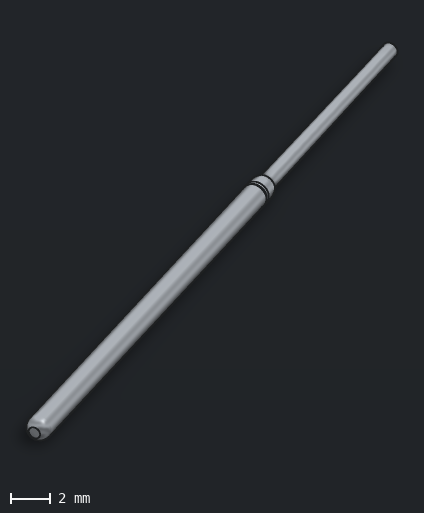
import cadquery as cq
import math

length = 38.7
body_radius = 1.37 / 2

nose_length = 0.57
nose_face_radius = 0.32

shoulder_from_tail_end = 13.7
shoulder_length = 0.32
shoulder_end_radius = 0.61
groove_from_shoulder = 0.8
groove_width = 0.26
groove_depth = 0.06

tip_length = 2.0
tip_radius = 0.86 / 2
tail_root_radius = 0.965 / 2

front_y = -length / 2
tail_end_y = length / 2
nose_start_y = front_y + nose_length
shoulder_y = tail_end_y - shoulder_from_tail_end
shoulder_start_y = shoulder_y - shoulder_length
groove_rear_y = shoulder_y - groove_from_shoulder
groove_mid_y = groove_rear_y - groove_width / 2
groove_front_y = groove_rear_y - groove_width
tip_y = tail_end_y - tip_length


def rounding_mid_point(start_y, end_y, end_radius):
    """Middle of the arc that leaves the body tangentially at start_y and reaches end_radius at end_y."""
    drop = body_radius - end_radius
    run = end_y - start_y
    arc_radius = (drop**2 + run**2) / (2 * drop)
    half_angle = math.asin(run / arc_radius) / 2
    mid_radius = body_radius - arc_radius * (1 - math.cos(half_angle))
    return mid_radius, start_y + arc_radius * math.sin(half_angle)


nose_mid = rounding_mid_point(nose_start_y, front_y, nose_face_radius)
shoulder_mid = rounding_mid_point(shoulder_start_y, shoulder_y, shoulder_end_radius)

half_profile = (
    cq.Workplane("XY")
    .moveTo(0, front_y)
    .lineTo(nose_face_radius, front_y)
    .threePointArc(nose_mid, (body_radius, nose_start_y))
    .lineTo(body_radius, groove_front_y)
    .lineTo(body_radius - groove_depth, groove_mid_y)
    .lineTo(body_radius, groove_rear_y)
    .lineTo(body_radius, shoulder_start_y)
    .threePointArc(shoulder_mid, (shoulder_end_radius, shoulder_y))
    .lineTo(tail_root_radius, shoulder_y)
    .lineTo(tip_radius, tip_y)
    .lineTo(tip_radius, tail_end_y)
    .lineTo(0, tail_end_y)
    .close()
)

result = half_profile.revolve(360, (0, 0, 0), (0, 1, 0))